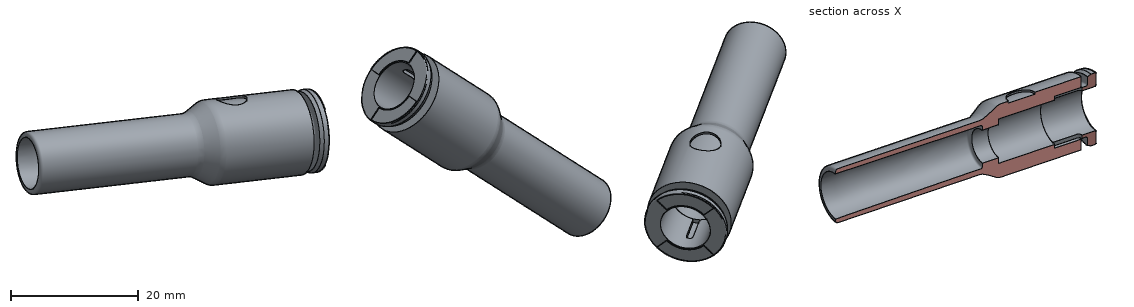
import cadquery as cq
import math

total_length = 48.85
y_mouth = -total_length / 2
y_collet_face = total_length / 2

socket_outer_radius = 6.75
stem_radius = 5.0
y_socket_end = 21.55
y_cone_top = 6.1
cone_half_angle = 30.0
y_cone_bottom = y_cone_top - (socket_outer_radius - stem_radius) / math.tan(math.radians(cone_half_angle))
shoulder_fillet = 1.8
mouth_fillet = 0.5

tube_radius = 4.0
through_radius = 3.0
stem_bore_mouth_radius = 4.1
stem_bore_inner_radius = 3.9
stem_bore_floor_fillet = 0.3

badge_radius = 2.45
badge_depth = 0.35
y_badge = 10.4

neck_radius = 4.7
flange_radius = 6.6
flange_thickness = 1.55
flange_top_fillet = 0.15
flange_bevel_height = 0.65
flange_bevel_width = 0.3
neck_fillet = 0.3
y_collet_inner_end = 16.6
pad_inner_radius = 4.2
pad_outer_radius = 6.45
pad_height = 0.15
pad_sweep = 90.0
pad_count = 2
y_flange_top = y_collet_face - pad_height
y_flange_bottom = y_flange_top - flange_thickness
slit_width = 1.07
slit_count = 2
slit_reach_beyond_socket = 0.15
y_slit_end = y_socket_end + slit_reach_beyond_socket


def ring_edge(y):
    """Selector of the circular edge centred on the axis at height y."""
    return cq.selectors.NearestToPointSelector((0, y, 0))


def turned(points):
    """Solid turned about the Y axis from (radius, y) points, closed along the axis."""
    first_y = points[0][1]
    last_y = points[-1][1]
    outline = [(0, first_y), *points, (0, last_y)]
    return cq.Workplane("XY").polyline(outline).close().revolve(360, (0, 0, 0), (0, 1, 0))


def badge_recess():
    """Shallow round recess whose floor is concentric with the socket."""
    floor_radius = socket_outer_radius - badge_depth
    plug = (
        cq.Workplane("XY")
        .center(0, y_badge)
        .circle(badge_radius)
        .extrude(socket_outer_radius)
    )
    core = turned([(floor_radius, y_cone_top), (floor_radius, y_socket_end)])
    return plug.cut(core)


def make_housing():
    """Stem, conical shoulder and tube socket in one piece."""
    outside = turned([
        (stem_radius, y_mouth),
        (stem_radius, y_cone_bottom),
        (socket_outer_radius, y_cone_top),
        (socket_outer_radius, y_socket_end),
    ])
    outside = outside.edges(ring_edge(y_cone_bottom)).fillet(shoulder_fillet)
    outside = outside.edges(ring_edge(y_cone_top)).fillet(shoulder_fillet)
    outside = outside.edges(ring_edge(y_mouth)).fillet(mouth_fillet)
    stem_bore = turned([
        (stem_bore_mouth_radius, y_mouth),
        (stem_bore_inner_radius, y_cone_bottom),
    ])
    stem_bore = stem_bore.edges(ring_edge(y_cone_bottom)).fillet(stem_bore_floor_fillet)
    socket_bore = turned([
        (through_radius, y_cone_bottom),
        (through_radius, y_cone_top),
        (tube_radius, y_cone_top),
        (tube_radius, y_collet_inner_end),
        (neck_radius, y_collet_inner_end),
        (neck_radius, y_socket_end),
    ])
    return outside.cut(stem_bore).cut(socket_bore).cut(badge_recess())


def collet_slit(angle):
    """Round-ended slit through one side of the neck, open at its inner end."""
    slit_length = y_slit_end - y_collet_inner_end
    slit = (
        cq.Workplane("XY")
        .center(0, y_collet_inner_end)
        .slot2D(2 * slit_length, slit_width, 90)
        .extrude(flange_radius)
    )
    return slit.rotate((0, 0, 0), (0, 1, 0), angle)


def face_pad(angle):
    """Raised ring sector on the collet face, centred on +Z before it is turned by angle."""
    start = cq.Workplane("XY").center(0, y_flange_top)
    pad_start = 90 + pad_sweep / 2
    ring = start.moveTo(pad_inner_radius, 0).lineTo(pad_outer_radius, 0)
    ring = ring.lineTo(pad_outer_radius, pad_height).lineTo(pad_inner_radius, pad_height).close()
    pad = ring.revolve(pad_sweep, (0, 0, 0), (0, 1, 0))
    return pad.rotate((0, 0, 0), (0, 1, 0), angle - pad_start)


def make_collet():
    """Release collet: slit neck inside the socket and a flange with raised pads outside it."""
    collet = turned([
        (neck_radius, y_collet_inner_end),
        (neck_radius, y_flange_bottom),
        (flange_radius - flange_bevel_width, y_flange_bottom),
        (flange_radius, y_flange_bottom + flange_bevel_height),
        (flange_radius, y_flange_top),
    ])
    smallest_radius = cq.selectors.RadiusNthSelector(0)
    collet = collet.edges(smallest_radius).edges(">Y").fillet(neck_fillet)
    collet = collet.faces(">Y").edges().fillet(flange_top_fillet)
    tube_hole = turned([(tube_radius, y_collet_inner_end), (tube_radius, y_flange_top)])
    collet = collet.cut(tube_hole)
    for index in range(pad_count):
        collet = collet.union(face_pad(index * 360 / pad_count))
    for index in range(slit_count):
        collet = collet.cut(collet_slit(index * 360 / slit_count))
    return collet


housing = make_housing()
collet = make_collet()
result = cq.Compound.makeCompound([housing.solids().val(), collet.solids().val()])